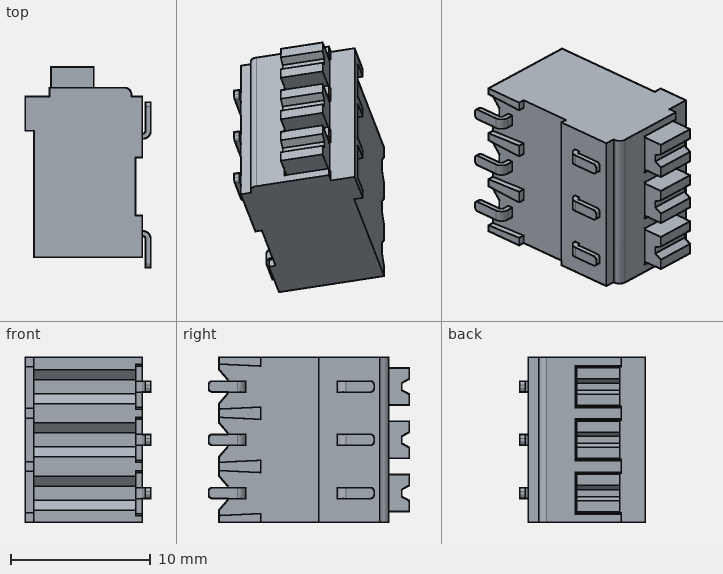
import cadquery as cq

POLES = 3
POLE_PITCH = 3.81
HEIGHT = 11.82
POLE_HEIGHTS = [(i - (POLES - 1) / 2) * POLE_PITCH for i in range(POLES)]

BODY_LEFT = 0.63
BODY_RIGHT = 8.38
BODY_DEPTH = 11.52

FLANGE_BAR = 1.0
TOOTH_LENGTH = 1.47
TOOTH_WIDTH = 0.69

RIDGE_LEFT = 1.74
RIDGE_RIGHT = 7.62
RIDGE_HEIGHT = 0.63
RIDGE_RADIUS = 0.52
POCKET_WIDTH = 2.8
POCKET_MOUTH_EXTRA = 0.1
POCKET_CHAMFER_DEPTH = 0.23

KEY_CLEARANCE = 0.1
KEY_LENGTH = 3.08
KEY_WIDTH = 2.66
KEY_HEIGHT = 2.11
KEY_NOTCH_MOUTH = 1.1
KEY_NOTCH_FLOOR = 0.5
KEY_NOTCH_DEPTH = 0.55

GROOVE_MOUTH = 2.43
GROOVE_FLOOR = 0.99
GROOVE_DEPTH = 0.62

RECESS_FRONT = 3.0
RECESS_REAR = 7.13
RECESS_DEPTH = 0.47
PIN_NOTCH_MOUTH = 3.22
PIN_NOTCH_INNER = 2.93

PIN_OUTER_FACE = 9.0
PIN_THICKNESS = 0.39
PIN_WIDTH = 0.79
PIN_BEND_RADIUS = 0.59
PIN_TIP_RADIUS = 0.27
PIN_ROOT_DEPTH = 0.43
FRONT_PIN_BEND = 1.9
FRONT_PIN_TIP = -0.75
REAR_PIN_BEND = 8.47
REAR_PIN_TIP = 11.1


def block(x_min, x_max, y_min, y_max, z_center, z_size):
    """Box between X and Y limits, centred on a height."""
    box = cq.Workplane("XY").box(x_max - x_min, y_max - y_min, z_size, centered=(False, False, True))
    return box.translate((x_min, y_min, z_center))


def side_profile(points, x_min, x_max, z_center):
    """Extrude a (Y, Z) outline, drawn about a pole centre, along X."""
    prism = cq.Workplane("YZ").polyline(points).close().extrude(x_max - x_min)
    return prism.translate((x_min, 0, z_center))


def make_flange():
    bar_front = BODY_DEPTH - FLANGE_BAR
    flange = block(0, BODY_LEFT, bar_front, BODY_DEPTH, 0, HEIGHT)
    end_tooth = (HEIGHT - TOOTH_WIDTH) / 2
    inner_teeth = [z + POLE_PITCH / 2 for z in POLE_HEIGHTS[:-1]]
    for z in [-end_tooth, *inner_teeth, end_tooth]:
        flange = flange.union(block(0, BODY_LEFT, bar_front - TOOTH_LENGTH, bar_front, z, TOOTH_WIDTH))
    return flange


def make_ridge():
    rear = BODY_DEPTH + RIDGE_HEIGHT
    ridge = block(RIDGE_LEFT, RIDGE_RIGHT, BODY_DEPTH, rear, 0, HEIGHT)
    ridge = ridge.edges("|Z and >X and >Y").fillet(RIDGE_RADIUS)
    pocket_right = RIDGE_LEFT + 2 * KEY_CLEARANCE + KEY_LENGTH
    inner = POCKET_WIDTH / 2
    mouth = inner + POCKET_MOUTH_EXTRA
    chamfer_start = rear - POCKET_CHAMFER_DEPTH
    outline = [
        (BODY_DEPTH, -inner),
        (chamfer_start, -inner),
        (rear, -mouth),
        (rear, mouth),
        (chamfer_start, inner),
        (BODY_DEPTH, inner),
    ]
    for z in POLE_HEIGHTS:
        ridge = ridge.cut(side_profile(outline, RIDGE_LEFT, pocket_right, z))
    return ridge


def make_key(z):
    left = RIDGE_LEFT + KEY_CLEARANCE
    tip = BODY_DEPTH + KEY_HEIGHT
    half = KEY_WIDTH / 2
    notch_floor = tip - KEY_NOTCH_DEPTH
    outline = [
        (BODY_DEPTH, -half),
        (tip, -half),
        (tip, -KEY_NOTCH_MOUTH / 2),
        (notch_floor, -KEY_NOTCH_FLOOR / 2),
        (notch_floor, KEY_NOTCH_FLOOR / 2),
        (tip, KEY_NOTCH_MOUTH / 2),
        (tip, half),
        (BODY_DEPTH, half),
    ]
    return side_profile(outline, left, left + KEY_LENGTH, z)


def make_front_groove(z):
    outline = [
        (0, -GROOVE_MOUTH / 2),
        (GROOVE_DEPTH, -GROOVE_FLOOR / 2),
        (GROOVE_DEPTH, GROOVE_FLOOR / 2),
        (0, GROOVE_MOUTH / 2),
    ]
    return side_profile(outline, BODY_LEFT, BODY_RIGHT, z)


def make_pin_notch(z):
    outline = [
        (0, -PIN_NOTCH_MOUTH / 2),
        (RECESS_FRONT, -PIN_NOTCH_INNER / 2),
        (RECESS_FRONT, PIN_NOTCH_INNER / 2),
        (0, PIN_NOTCH_MOUTH / 2),
    ]
    return side_profile(outline, BODY_RIGHT - RECESS_DEPTH, BODY_RIGHT, z)


def make_pin(z, bend_y, tip_y):
    """L-shaped pin: it leaves the housing along X and bends toward its tip along Y."""
    root = BODY_RIGHT - RECESS_DEPTH - PIN_ROOT_DEPTH
    inner_face = PIN_OUTER_FACE - PIN_THICKNESS
    toward_tip = 1 if tip_y > bend_y else -1
    inner_radius = PIN_BEND_RADIUS - PIN_THICKNESS
    bend_x = PIN_OUTER_FACE - PIN_BEND_RADIUS
    inner_y = bend_y + toward_tip * PIN_THICKNESS
    bend_end_y = bend_y + toward_tip * PIN_BEND_RADIUS
    pin = (
        cq.Workplane("XY")
        .moveTo(root, bend_y)
        .lineTo(bend_x, bend_y)
        .radiusArc((PIN_OUTER_FACE, bend_end_y), -toward_tip * PIN_BEND_RADIUS)
        .lineTo(PIN_OUTER_FACE, tip_y)
        .lineTo(inner_face, tip_y)
        .lineTo(inner_face, bend_end_y)
        .radiusArc((bend_x, inner_y), toward_tip * inner_radius)
        .lineTo(root, inner_y)
        .close()
        .extrude(PIN_WIDTH / 2, both=True)
    )
    tip_side = ">Y" if toward_tip > 0 else "<Y"
    pin = pin.faces(tip_side).edges("|X").fillet(PIN_TIP_RADIUS)
    return pin.translate((0, 0, z))


def make_housing():
    housing = block(BODY_LEFT, BODY_RIGHT, 0, BODY_DEPTH, 0, HEIGHT)
    housing = housing.cut(block(BODY_RIGHT - RECESS_DEPTH, BODY_RIGHT, RECESS_FRONT, RECESS_REAR, 0, HEIGHT))
    for z in POLE_HEIGHTS:
        housing = housing.cut(make_front_groove(z))
        housing = housing.cut(make_pin_notch(z))
    return housing.union(make_flange()).union(make_ridge())


result = make_housing()
for pole_z in POLE_HEIGHTS:
    result = result.union(make_key(pole_z))
    result = result.union(make_pin(pole_z, FRONT_PIN_BEND, FRONT_PIN_TIP))
    result = result.union(make_pin(pole_z, REAR_PIN_BEND, REAR_PIN_TIP))